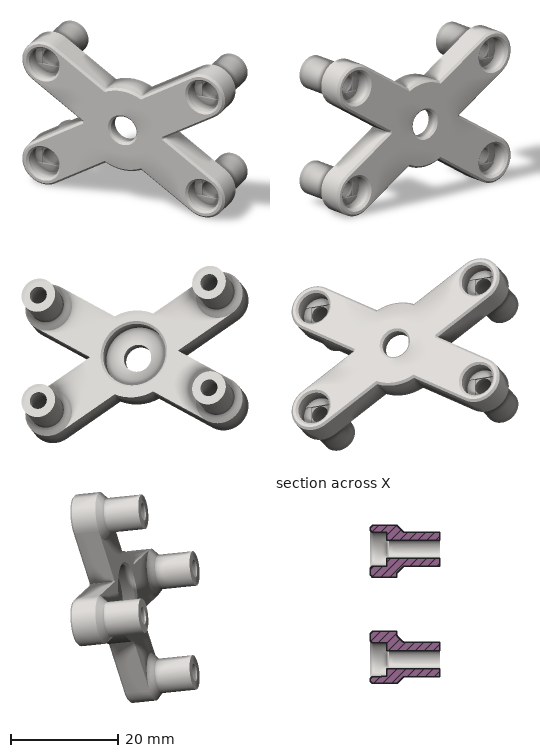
import cadquery as cq
import math

length = 41.8
height = 29.6
depth = 13.0
end_diameter = 9.0
spacing_x = length - end_diameter
spacing_z = height - end_diameter

plate_thickness = 5.0
hub_diameter = 16.97
edge_chamfer = 0.4
center_hole_diameter = 5.25

pocket_diameter = 12.0
pocket_depth = 2.8

post_diameter = 6.5
foot_height = (end_diameter - post_diameter) / 2

recess_diameter = 6.25
recess_depth = 3.05
screw_diameter = 3.25
step_depth = 0.2

corners = [
    (side_x * spacing_x / 2, side_z * spacing_z / 2)
    for side_x in (-1, 1)
    for side_z in (-1, 1)
]


def plane_at(y):
    """XZ sketch plane at the given Y; positive extrusion runs towards -Y."""
    return cq.Workplane("XZ", origin=(0, y, 0))


def bevelled(blank):
    """Break the front outer edge of a blank."""
    return blank.faces("<Y").edges().chamfer(edge_chamfer)


def make_entry(hole_diameter):
    """Cutter for the conical front entry of a round hole."""
    entry_radius = hole_diameter / 2 + edge_chamfer
    return plane_at(0).circle(entry_radius).extrude(-edge_chamfer, taper=45)


def make_plate():
    arm_length = math.hypot(spacing_x, spacing_z) + end_diameter
    arm_angle = math.degrees(math.atan2(spacing_z, spacing_x))
    plate = bevelled(plane_at(0).circle(hub_diameter / 2).extrude(-plate_thickness))
    for angle in (arm_angle, -arm_angle):
        arm = plane_at(0).slot2D(arm_length, end_diameter, angle).extrude(-plate_thickness)
        plate = plate.union(bevelled(arm))
    center_hole = plane_at(0).circle(center_hole_diameter / 2).extrude(-plate_thickness)
    pocket = plane_at(plate_thickness).circle(pocket_diameter / 2).extrude(pocket_depth)
    pocket_entry = plane_at(plate_thickness).circle(pocket_diameter / 2 + edge_chamfer)
    pocket = pocket.union(pocket_entry.extrude(edge_chamfer, taper=45))
    return plate.cut(center_hole).cut(make_entry(center_hole_diameter)).cut(pocket)


def make_posts():
    posts = plane_at(plate_thickness).pushPoints(corners).circle(post_diameter / 2)
    posts = posts.extrude(plate_thickness - depth)
    feet = plane_at(plate_thickness).pushPoints(corners).circle(end_diameter / 2)
    feet = feet.extrude(-foot_height, taper=45)
    return posts.union(feet)


def make_bore():
    """Cutter for one stepped bore centred on the Y axis."""
    slot_end = recess_depth + step_depth
    square_end = slot_end + step_depth
    recess = plane_at(0).circle(recess_diameter / 2).extrude(-recess_depth)
    slot = plane_at(0).circle(recess_diameter / 2).extrude(-slot_end)
    slot = slot.intersect(plane_at(0).rect(recess_diameter, screw_diameter).extrude(-slot_end))
    square = plane_at(0).rect(screw_diameter, screw_diameter).extrude(-square_end)
    screw_hole = plane_at(0).circle(screw_diameter / 2).extrude(-depth)
    entry = make_entry(recess_diameter)
    return recess.union(slot).union(square).union(screw_hole).union(entry)


result = make_plate().union(make_posts())
bore = make_bore()
for x, z in corners:
    result = result.cut(bore.translate((x, 0, z)))